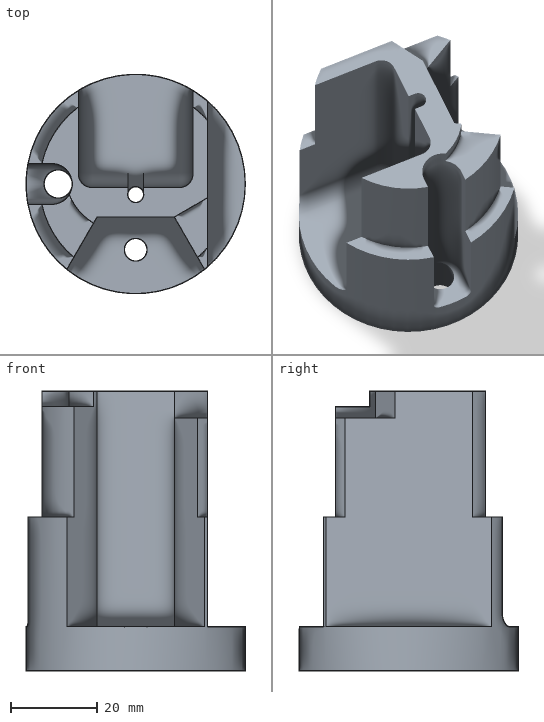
import cadquery as cq
import math

height = 64.8
base_radius = 25.4
upper_radius = 22.2
floor_z = 10.25
shoulder_z = 35.6
flat_x = 16.65

pocket_half_width = 13.3
pocket_front_y = -0.85
pocket_fillet = 3.25
wire_hole_radius = 1.8
wire_hole_y = -2.45

recess_half_width = 8.95
recess_back_y = -7.65
recess_side_angle = 60.0
recess_hole_radius = 2.6
recess_hole_y = -15.2

slot_radius = 4.7
slot_center_x = -19.4
slot_fillet = 1.5
slot_hole_radius = 3.25
slot_hole_x = slot_center_x + slot_radius - slot_hole_radius

left_ledge_z = 61.15
left_ledge_inner_y = -2.45
left_ledge_outer_y = -9.1
left_ledge_bulge = 0.7
right_ledge_z = 58.55
right_ledge_angle = 90.0 - recess_side_angle

reach = 2 * base_radius


def box(x_min, x_max, y_min, y_max, z_min, z_max):
    size = (x_max - x_min, y_max - y_min, z_max - z_min)
    return cq.Workplane("XY").box(*size, centered=False).translate((x_min, y_min, z_min))


def upright_cylinder(x, y, radius, z_min=0.0):
    return cq.Workplane("XY", origin=(x, y, z_min)).circle(radius).extrude(height - z_min)


def polar_offset(point, angle, distance):
    turn = math.radians(angle)
    return (point[0] + distance * math.cos(turn), point[1] + distance * math.sin(turn))


def stepped_body():
    lower = upright_cylinder(0, 0, base_radius).intersect(
        box(-reach, reach, -reach, reach, 0, shoulder_z)
    )
    body = lower.union(upright_cylinder(0, 0, upper_radius))
    return body.cut(box(flat_x, reach, -reach, reach, floor_z, height))


def rear_pocket():
    pocket = box(-pocket_half_width, pocket_half_width, pocket_front_y, reach, floor_z, height)
    pocket = pocket.faces("<Y").edges("|Z").fillet(pocket_fillet)
    return pocket.faces("<Z").edges("not >Y").fillet(pocket_fillet)


def wire_notch():
    back_y = pocket_front_y + pocket_fillet
    channel = box(-wire_hole_radius, wire_hole_radius, wire_hole_y, back_y, floor_z, height)
    return channel.union(upright_cylinder(0, wire_hole_y, wire_hole_radius))


def front_recess():
    left = (-recess_half_width, recess_back_y)
    right = (recess_half_width, recess_back_y)
    left_end = polar_offset(left, 180 + recess_side_angle, reach)
    right_end = polar_offset(right, -recess_side_angle, reach)
    outline = cq.Workplane("XY", origin=(0, 0, floor_z)).polyline([left, right, right_end, left_end])
    recess = outline.close().extrude(height - floor_z)
    return recess.union(upright_cylinder(0, recess_hole_y, recess_hole_radius))


def side_slot():
    slot = (
        cq.Workplane("XY", origin=(0, 0, floor_z))
        .moveTo(-reach, slot_radius)
        .lineTo(slot_center_x, slot_radius)
        .threePointArc((slot_center_x + slot_radius, 0), (slot_center_x, -slot_radius))
        .lineTo(-reach, -slot_radius)
        .close()
        .extrude(height - floor_z)
    )
    slot = slot.faces("<Z").edges("not <X").fillet(slot_fillet)
    return slot.union(upright_cylinder(slot_hole_x, 0, slot_hole_radius))


def left_ledge():
    inner_x = slot_center_x + math.sqrt(slot_radius**2 - left_ledge_inner_y**2)
    recess_depth = recess_back_y - left_ledge_outer_y
    outer_x = -recess_half_width - recess_depth / math.tan(math.radians(recess_side_angle))
    inner = (inner_x, left_ledge_inner_y)
    outer = (outer_x, left_ledge_outer_y)
    chord_x = outer[0] - inner[0]
    chord_y = outer[1] - inner[1]
    chord = math.hypot(chord_x, chord_y)
    middle = (
        (inner[0] + outer[0]) / 2 + left_ledge_bulge * chord_y / chord,
        (inner[1] + outer[1]) / 2 - left_ledge_bulge * chord_x / chord,
    )
    return (
        cq.Workplane("XY", origin=(0, 0, left_ledge_z))
        .moveTo(*inner)
        .threePointArc(middle, outer)
        .lineTo(outer[0], -reach)
        .lineTo(-reach, -reach)
        .lineTo(-reach, inner[1])
        .close()
        .extrude(height - left_ledge_z)
    )


def right_ledge():
    corner = (recess_half_width, recess_back_y)
    far_end = polar_offset(corner, right_ledge_angle, reach)
    outline = [corner, far_end, (far_end[0], -reach), (corner[0], -reach)]
    ledge = cq.Workplane("XY", origin=(0, 0, right_ledge_z)).polyline(outline)
    return ledge.close().extrude(height - right_ledge_z)


result = stepped_body()
for cutter in (rear_pocket, wire_notch, front_recess, side_slot, left_ledge, right_ledge):
    result = result.cut(cutter())